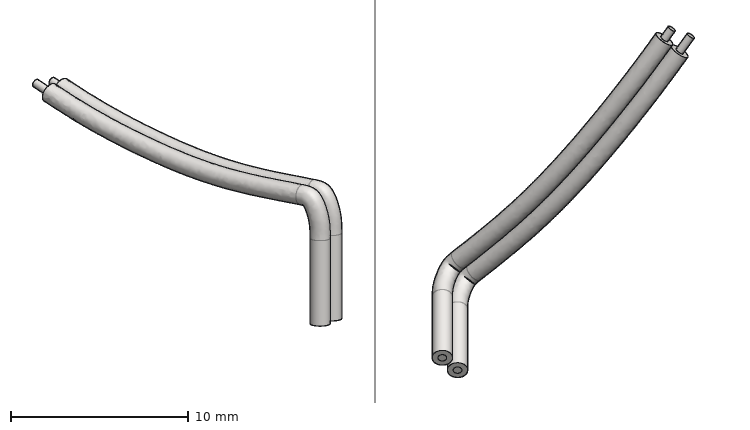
import cadquery as cq

insulation_diameter = 1.15
core_diameter = 0.5
wire_a_offset = (0, 0, 0)
wire_b_offset = (-0.1, 1.28, 0)

leg_bottom = cq.Vector(20.8, 0.83, 0)
leg_top = leg_bottom + cq.Vector(0, 0, 5.0)
bend_shoulder = cq.Vector(20.75, 0.75, 6.15)
bend_corner = cq.Vector(20.42, 0.6, 7.18)
arm_start = cq.Vector(19.71, 0.58, 7.42)
arm_inner = cq.Vector(13.8, 0.75, 7.55)
arm_outer = cq.Vector(7.33, 1.35, 8.49)
arm_end = cq.Vector(1.15, 2.14, 10.1)

up = cq.Vector(0, 0, 1)
arm_start_direction = cq.Vector(-1, 0, 0)
arm_end_direction = cq.Vector(-1, 0.13, 0.33)

bare_length_a = 1.13
bare_length_b = 0.75


def centreline():
    leg = cq.Edge.makeLine(leg_bottom, leg_top)
    bend = cq.Edge.makeSpline(
        [leg_top, bend_shoulder, bend_corner, arm_start], tangents=[up, arm_start_direction]
    )
    arm = cq.Edge.makeSpline(
        [arm_start, arm_inner, arm_outer, arm_end], tangents=[arm_start_direction, arm_end_direction]
    )
    return cq.Wire.assembleEdges([leg, bend, arm])


def rod(diameter):
    """Round rod along the whole centreline."""
    section = cq.Workplane("XY", origin=leg_bottom.toTuple()).circle(diameter / 2)
    return section.sweep(cq.Workplane(obj=centreline()))


def make_insulation():
    return rod(insulation_diameter).cut(rod(core_diameter))


def make_core(bare_length):
    """Core filling the insulation, with a straight bare tip."""
    end_plane = cq.Plane(arm_end, normal=arm_end_direction)
    bare_tip = cq.Workplane(end_plane).circle(core_diameter / 2).extrude(bare_length)
    return rod(core_diameter).union(bare_tip)


bodies = []
for offset, bare_length in ((wire_a_offset, bare_length_a), (wire_b_offset, bare_length_b)):
    bodies.append(make_insulation().translate(offset).val())
    bodies.append(make_core(bare_length).translate(offset).val())

result = cq.Compound.makeCompound(bodies)